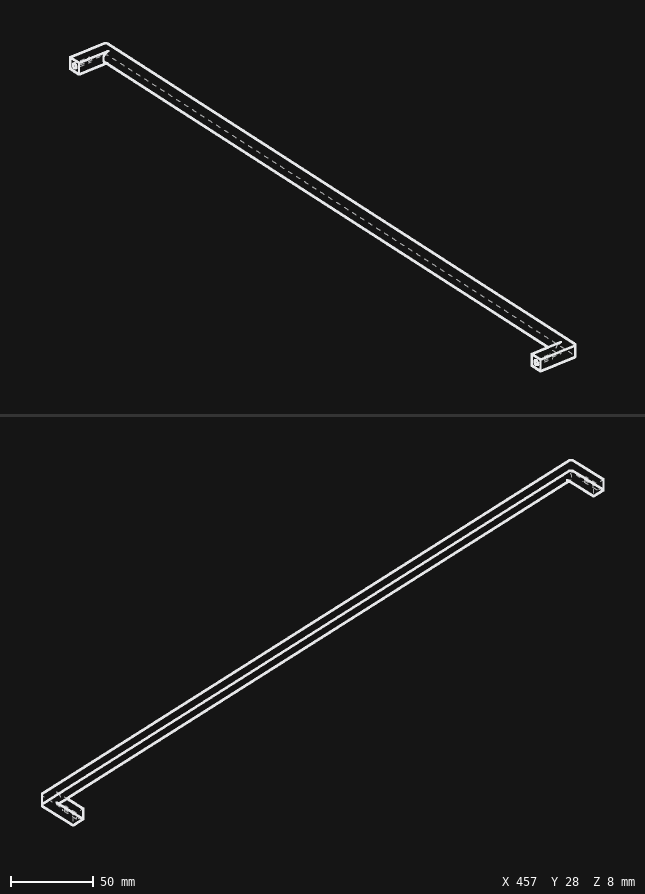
import cadquery as cq

length = 457.0
depth = 28.0
height = 8.0

leg_width = 8.5
grip_depth = 9.0
nose_radius = height / 2
corner_radius = 2.0

hole_diameter = 3.0
hole_depth = 12.0

back_y = depth / 2
foot_y = -depth / 2
leg_center_x = (length - leg_width) / 2


def make_grip():
    """Bar along X with a flat back and a half-round front."""
    nose_tip_y = back_y - grip_depth
    nose_start_y = nose_tip_y + nose_radius
    return (
        cq.Workplane("YZ", origin=(-length / 2, 0, 0))
        .moveTo(back_y, -height / 2)
        .lineTo(nose_start_y, -height / 2)
        .threePointArc((nose_tip_y, 0), (nose_start_y, height / 2))
        .lineTo(back_y, height / 2)
        .close()
        .extrude(length)
    )


def make_leg(center_x):
    """Rectangular leg running from the back face to the foot."""
    return cq.Workplane("XY").box(leg_width, depth, height).translate((center_x, 0, 0))


def make_mounting_hole(center_x):
    """Cutter for a blind hole running from the foot toward the back."""
    return (
        cq.Workplane("XZ", origin=(center_x, foot_y, 0))
        .circle(hole_diameter / 2)
        .extrude(-hole_depth)
    )


leg_centers = (-leg_center_x, leg_center_x)

result = make_grip()
for center_x in leg_centers:
    result = result.union(make_leg(center_x))

result = result.edges("|Z and >Y").fillet(corner_radius)

for center_x in leg_centers:
    result = result.cut(make_mounting_hole(center_x))